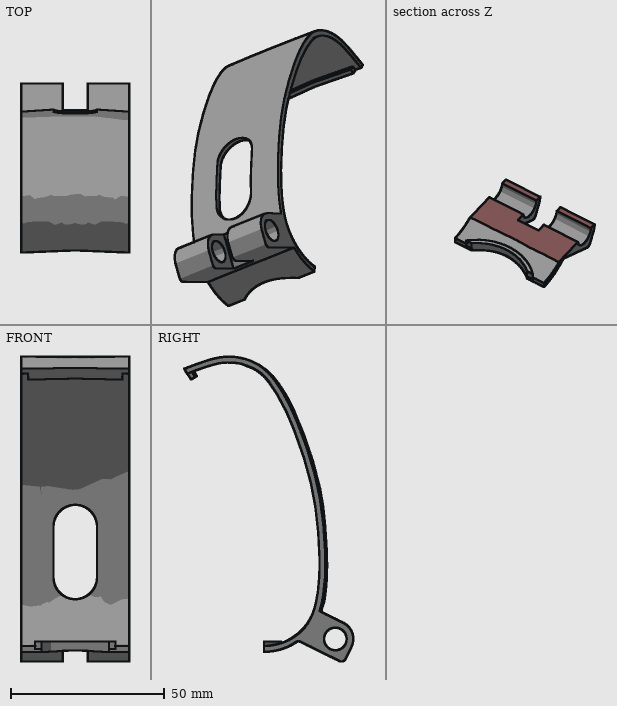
import cadquery as cq
import math


width = 35.22
thickness = 1.9
crown = 0.75
foot_y, foot_z = -23.3, -2.35
foot_heading = 0.4
band_arcs = [
    (17.4, 82.3),
    (108.6, 38.0),
    (16.6, 75.2),
    (87.0, 8.5),
]
points_per_arc = 4

tip_y, tip_z = -49.16, 87.85
tip_tilt = 31.0
tip_v_depth = 0.75
tip_rim_width = 30.8
tip_rim_thickness = 1.6
tip_rim_height = 2.0

notch_width = 22.0
notch_radius = 17.0
foot_rim_thickness = 1.5
foot_rim_height = 1.6

window_width = 14.1
window_length = 30.7
window_centre_z = 28.35

lug_half_width = 5.9
lug_tilt = 26.3
lug_root_upper = 9.7
lug_root_lower = 10.8
lug_root_middle = 9.5
lug_corner_radius = 1.5
pivot_diameter = 7.3
lug_slot_width = 8.0
lug_slot_floor = 6.0

clearance = 10.0


def arc_point(centre, radius, heading):
    """Point of an arc where its direction of travel has the given heading, in radians."""
    return centre[0] + radius * math.sin(heading), centre[1] - radius * math.cos(heading)


def section_points(offset, bulge):
    """Points along the band arcs, offset outwards and bulged towards +Y where the band faces +Y."""
    y, z = foot_y, foot_z
    heading = math.radians(foot_heading)
    points = [arc_point((y, z), offset, heading)]
    for radius, sweep_degrees in band_arcs:
        step = math.radians(sweep_degrees) / points_per_arc
        centre = (y - radius * math.sin(heading), z + radius * math.cos(heading))
        for _ in range(points_per_arc):
            heading += step
            point_y, point_z = arc_point(centre, radius + offset, heading)
            points.append((point_y + bulge * math.sin(heading) ** 2, point_z))
        y, z = arc_point(centre, radius, heading)
    return points


def band_section(x, bulge):
    """Closed outline of the band in the plane at x, smoothed through the arc points."""
    inner = section_points(0, bulge)
    outer = section_points(thickness, bulge)
    outline = (
        cq.Workplane("YZ", origin=(x, 0, 0))
        .moveTo(*inner[0])
        .spline(inner[1:], includeCurrent=True)
        .lineTo(*outer[-1])
        .spline(outer[-2::-1], includeCurrent=True)
        .close()
    )
    return outline.wire().val()


def make_band():
    sections = [
        band_section(-width / 2, 0),
        band_section(0, crown),
        band_section(width / 2, 0),
    ]
    return cq.Workplane(cq.Solid.makeLoft(sections))


def tip_plane():
    """Plane at the tip corner: local Y points inwards along the band, the normal down the end face."""
    tilt = math.radians(tip_tilt)
    down = (0, math.sin(tilt), -math.cos(tilt))
    return cq.Plane(origin=(0, tip_y, tip_z), xDir=(-1, 0, 0), normal=down)


def make_tip_trim():
    """Everything beyond the V-shaped end face."""
    half = width / 2 + clearance
    edge = -tip_v_depth * clearance / (width / 2)
    outline = [(-half, edge), (0, tip_v_depth), (half, edge), (half, -clearance), (-half, -clearance)]
    return cq.Workplane(tip_plane()).polyline(outline).close().extrude(clearance, both=True)


def make_tip_rim():
    """Lip hanging from the inner face along the V-shaped end."""
    half = tip_rim_width / 2
    side = tip_v_depth * (1 - tip_rim_width / width)
    outline = [
        (-half, side),
        (0, tip_v_depth),
        (half, side),
        (half, side + tip_rim_thickness),
        (0, tip_v_depth + tip_rim_thickness),
        (-half, side + tip_rim_thickness),
    ]
    start = thickness / 2
    lip = cq.Workplane(tip_plane()).workplane(offset=start).polyline(outline).close()
    return lip.extrude(thickness + tip_rim_height - start)


def foot_disc(radius, bottom, top):
    """Upright disc around the notch centre."""
    centre_y = foot_y - math.sqrt(notch_radius ** 2 - (notch_width / 2) ** 2)
    return cq.Workplane("XY", origin=(0, centre_y, bottom)).circle(radius).extrude(top - bottom)


def make_foot_rim():
    rim = foot_disc(notch_radius + foot_rim_thickness, foot_z - thickness / 2, foot_z + foot_rim_height)
    reach = 2 * (notch_radius + foot_rim_thickness)
    behind_end = cq.Workplane("XY").box(width, reach, reach, centered=(True, False, True))
    return rim.intersect(behind_end.translate((0, foot_y, foot_z)))


def make_notch():
    return foot_disc(notch_radius, foot_z - clearance, foot_z + clearance)


def make_window():
    slot = cq.Workplane("XZ", origin=(0, 0, window_centre_z)).slot2D(window_length, window_width, 90)
    return slot.extrude(clearance, both=True)


def make_lug():
    """Pivot lug, drawn square to its own axis (local Y points away from the band) and then tilted."""
    half = lug_half_width
    outer_corner = half * math.sqrt(0.5)
    body = (
        cq.Workplane("YZ", origin=(-width / 2, 0, 0))
        .moveTo(-lug_root_upper, half)
        .lineTo(0, half)
        .threePointArc((outer_corner, outer_corner), (half, 0))
        .lineTo(half, -half)
        .lineTo(-lug_root_lower, -half)
        .threePointArc((-lug_root_middle, 0), (-lug_root_upper, half))
        .close()
        .extrude(width)
    )
    body = body.edges(cq.selectors.NearestToPointSelector((0, half, -half))).fillet(lug_corner_radius)
    hole = cq.Workplane("YZ").circle(pivot_diameter / 2).extrude(width, both=True)
    slot_length = lug_slot_floor + half + clearance
    slot = (
        cq.Workplane("XY")
        .box(lug_slot_width, slot_length, 2 * half + clearance, centered=(True, False, True))
        .translate((0, -lug_slot_floor, 0))
    )
    return body.cut(hole).cut(slot).rotate((0, 0, 0), (1, 0, 0), -lug_tilt)


band = make_band().cut(make_window()).cut(make_tip_trim())
result = (
    band.union(make_tip_rim())
    .union(make_foot_rim())
    .cut(make_notch())
    .union(make_lug())
)